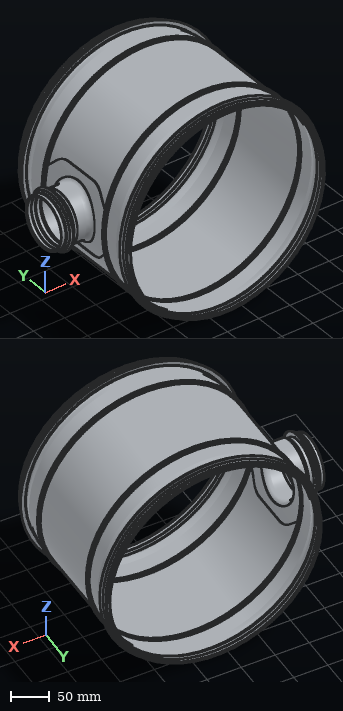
import cadquery as cq
import math


wall = 0.55
duct_radius = 157.0
duct_length = 241.0
branch_diameter = 79.0
branch_radius = branch_diameter / 2
branch_end = 205.5
opening_radius = 45.0

seat_depth = 2.4
hem_end = 6.2
hem_radius = (seat_depth + wall) / 2
duct_seat_end = 21.0
duct_cone_end = 28.5
branch_seat_end = 21.7
branch_cone_end = 25.5

bead_offset = 65.5
bead_base_width = 6.5
bead_top_width = 3.3
bead_height = 2.2

seal_end = 15.5
band_thickness = 0.55
short_lip_root = 7.7
short_lip_root_height = 0.55
short_lip_tip = 11.5
short_lip_height = 2.5
long_lip_height = 5.0
short_lip_thickness = 0.92
long_lip_thickness = 1.5

saddle_half_width = bead_offset - bead_base_width / 2
saddle_half_height = 58.5
saddle_top_half_width = 26.5
saddle_corner_radius = 29.5
root_fillet = 9.0


def revolve_end_profile(sketch):
    """Turn a closed (station, radius) profile around the X axis; the open end is at x = 0."""
    return sketch.close().revolve(360, (0, 0, 0), (1, 0, 0))


def at_branch_end(part):
    return part.translate((-branch_end, 0, 0))


def at_duct_ends(part):
    """Copies of an end part at the -Y and +Y ends of the duct."""
    placed = part.translate((-duct_length / 2, 0, 0))
    return [placed.rotate((0, 0, 0), (0, 0, 1), turn) for turn in (90, -90)]


def make_hem(radius):
    """Sheet edge folded outward in a half round and back over the seal seat."""
    seat_radius = radius - seat_depth
    middle_radius = radius - hem_radius
    return revolve_end_profile(
        cq.Workplane("XY")
        .moveTo(hem_radius, seat_radius - wall)
        .threePointArc((0, middle_radius), (hem_radius, radius))
        .lineTo(hem_end, radius)
        .lineTo(hem_end, radius - wall)
        .lineTo(hem_radius, radius - wall)
        .threePointArc((wall, middle_radius), (hem_radius, seat_radius))
    )


def seat_points(radius, seat_end, cone_end, inset):
    """(station, radius) points of a seal seat; inset is 0 outside and the wall thickness inside."""
    seat_radius = radius - seat_depth - inset
    return [(hem_radius, seat_radius), (seat_end, seat_radius), (cone_end, radius - inset)]


def bead_points(inset):
    """(station, radius) points of one bead, in order of rising station."""
    middle = duct_length / 2 - bead_offset
    low = duct_radius - inset
    high = low + bead_height
    slope = math.atan2(bead_height, (bead_base_width - bead_top_width) / 2)
    narrowing = inset * math.tan(slope / 2)
    base_half = bead_base_width / 2 - narrowing
    top_half = bead_top_width / 2 - narrowing
    return [
        (middle - base_half, low),
        (middle - top_half, high),
        (middle + top_half, high),
        (middle + base_half, low),
    ]


def duct_skin(inset):
    """(radius, y) points along the whole duct, from the +Y end to the -Y end."""
    stations = seat_points(duct_radius, duct_seat_end, duct_cone_end, inset) + bead_points(inset)
    rear = [(radius, duct_length / 2 - station) for station, radius in stations]
    front = [(radius, -y) for radius, y in reversed(rear)]
    return rear + front


def make_duct():
    profile = duct_skin(0) + duct_skin(wall)[::-1]
    shell = cq.Workplane("ZY").polyline(profile).close().revolve(360, (0, 0, 0), (0, 1, 0))
    for hem in at_duct_ends(make_hem(duct_radius)):
        shell = shell.union(hem)
    opening = cq.Workplane("YZ").circle(opening_radius).extrude(-branch_end)
    return shell.cut(opening)


def make_spigot():
    """Open end of the branch, with its seal seat and hem."""
    outer = seat_points(branch_radius, branch_seat_end, branch_cone_end, 0)
    inner = seat_points(branch_radius, branch_seat_end, branch_cone_end, wall)
    sleeve = revolve_end_profile(cq.Workplane("XY").polyline(outer + inner[::-1]))
    return at_branch_end(sleeve.union(make_hem(branch_radius)))


def filleted_tee(run_radius, stub_radius, fillet):
    """Solid cylinder along Y with a filleted stub towards -X, ending where the spigot begins."""
    run = cq.Workplane("XZ").circle(run_radius).extrude(duct_length / 2, both=True)
    stub = cq.Workplane("YZ").circle(stub_radius).extrude(branch_cone_end - branch_end)
    tee = run.union(stub)
    root = [edge for edge in tee.edges().vals() if edge.geomType() not in ("LINE", "CIRCLE")]
    return tee.newObject(root).fillet(fillet)


def saddle_outline():
    """Block towards -X whose YZ outline is the edge of the saddle plate: a box with cut corners,
    each 45-degree cut blending into the top or bottom edge through an arc."""
    arc_run = saddle_corner_radius * math.sin(math.pi / 4)
    arc_drop = saddle_corner_radius - arc_run
    cut_start = (saddle_top_half_width + arc_run, saddle_half_height - arc_drop)
    side_half_height = cut_start[1] - (saddle_half_width - cut_start[0])
    quarter = (
        cq.Workplane("YZ")
        .lineTo(0, saddle_half_height)
        .lineTo(saddle_top_half_width, saddle_half_height)
        .radiusArc(cut_start, saddle_corner_radius)
        .lineTo(saddle_half_width, side_half_height)
        .lineTo(saddle_half_width, 0)
        .close()
        .extrude(-branch_end)
    )
    half = quarter.union(quarter.mirror("XZ"))
    return half.union(half.mirror("XY")).clean()


def make_branch():
    outside = filleted_tee(duct_radius + wall, branch_radius, root_fillet)
    inside = filleted_tee(duct_radius, branch_radius - wall, root_fillet + wall)
    saddle = outside.cut(inside).intersect(saddle_outline())
    return saddle.union(make_spigot())


def make_seal(radius):
    """Rubber seal for a sheet of this full outer radius: a band with a short and a long lip."""
    seat_radius = radius - seat_depth
    band_radius = seat_radius + band_thickness
    short_lip_radius = radius + short_lip_height
    long_lip_radius = radius + long_lip_height
    long_lip_front = seal_end - long_lip_thickness
    return revolve_end_profile(
        cq.Workplane("XY").polyline([
            (hem_radius, seat_radius),
            (hem_radius, band_radius),
            (short_lip_root, band_radius),
            (short_lip_root, radius + short_lip_root_height),
            (short_lip_tip - short_lip_thickness, short_lip_radius),
            (short_lip_tip, short_lip_radius),
            (short_lip_root + short_lip_thickness, band_radius),
            (long_lip_front, band_radius),
            (long_lip_front, long_lip_radius),
            (seal_end, long_lip_radius),
            (seal_end, seat_radius),
        ])
    )


duct = make_duct()
branch = make_branch()
branch_seal = at_branch_end(make_seal(branch_radius))
duct_seals = [seal.val() for seal in at_duct_ends(make_seal(duct_radius))]

result = cq.Compound.makeCompound([duct.val(), branch.val(), branch_seal.val(), *duct_seals])